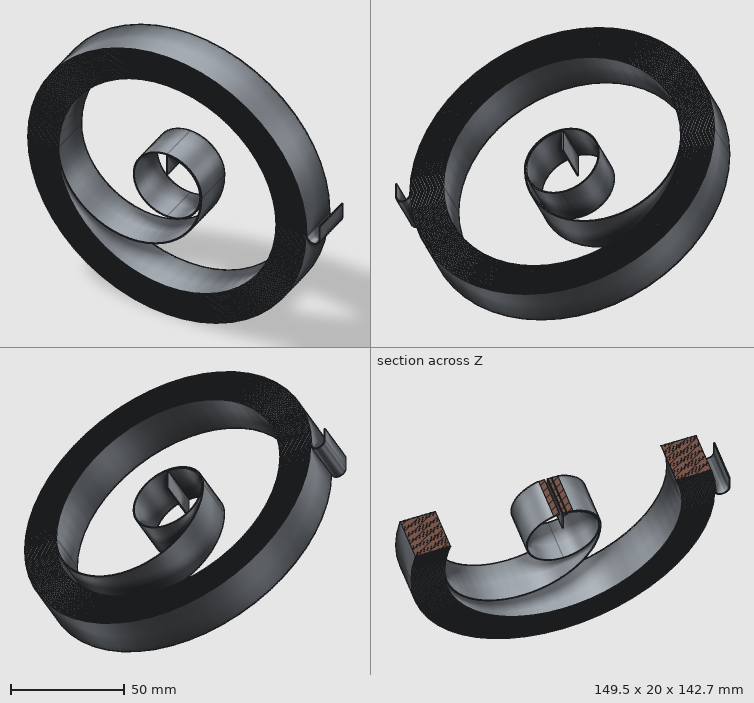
import cadquery as cq

OVERALL_LENGTH = 149.5
WIDTH = 20.0
THICKNESS = 0.54
HALF_THICKNESS = THICKNESS / 2

LAP_CLEARANCE = 0.012
LAP_PITCH = THICKNESS + LAP_CLEARANCE
HALF_PITCH = LAP_PITCH / 2

COIL_OUTER_RADIUS = 71.5
UPPER_HALF_TURNS = 29
HALF_TURNS = 2 * UPPER_HALF_TURNS - 1

HUB_INNER_RADIUS = 16.6
TAB_LENGTH = 11.0

HOOK_RADIUS = (OVERALL_LENGTH - 2 * COIL_OUTER_RADIUS) / 2
HOOK_LEG_LENGTH = 7.2

UP = (0, 1)
DOWN = (0, -1)
LEFT = (-1, 0)
RIGHT = (1, 0)
UP_RIGHT = (0.5 ** 0.5, 0.5 ** 0.5)


def point_on(bend, direction, offset=0):
    """Point of a bend in a direction from its center, offset outwards from the strip's centre line."""
    (center_x, center_z), radius = bend[:2]
    reach = radius + offset
    return (center_x + reach * direction[0], center_z + reach * direction[1])


def hub_bends():
    """A full turn from the top that climbs by one lap, then a quarter turn lying over its start."""
    radius = HUB_INNER_RADIUS + HALF_THICKNESS
    return [
        ((0, 0), radius, UP, RIGHT, DOWN),
        ((0, HALF_PITCH), radius + HALF_PITCH, DOWN, LEFT, UP),
        ((0, 0), radius + LAP_PITCH, UP, UP_RIGHT, RIGHT),
    ]


def coil_bends():
    """Half turns growing by half a pitch; the lower ones are centered half a pitch to the left."""
    radius = COIL_OUTER_RADIUS - HALF_THICKNESS - (HALF_TURNS - 1) * HALF_PITCH
    bends = []
    for index in range(HALF_TURNS):
        if index % 2 == 0:
            bends.append(((0, 0), radius, LEFT, UP, RIGHT))
        else:
            bends.append(((-HALF_PITCH, 0), radius, RIGHT, DOWN, LEFT))
        radius += HALF_PITCH
    return bends


def lead_out_bend(hub_end, coil_start):
    """Lower half turn from the right side of the hub to the left side of the coil."""
    center = ((hub_end[0] + coil_start[0]) / 2, 0)
    radius = (hub_end[0] - coil_start[0]) / 2
    return (center, radius, RIGHT, DOWN, LEFT)


def wound_bends():
    """The whole winding from the top of the hub to the right side of the coil."""
    hub = hub_bends()
    coil = coil_bends()
    lead_out = lead_out_bend(point_on(hub[-1], RIGHT), point_on(coil[0], LEFT))
    return hub + [lead_out] + coil


def spring_outline():
    """Closed outline of the strip: out along its outer face, back along its inner face."""
    bends = wound_bends()
    hub_top = point_on(bends[0], UP, HALF_THICKNESS)
    coil_end_x = point_on(bends[-1], RIGHT)[0]
    hook = ((coil_end_x + HOOK_RADIUS, 0), HOOK_RADIUS)

    outline = cq.Workplane("XZ", origin=(0, WIDTH / 2, 0)).moveTo(*hub_top)
    for bend in bends:
        middle, end = bend[3:]
        outline = outline.threePointArc(
            point_on(bend, middle, HALF_THICKNESS), point_on(bend, end, HALF_THICKNESS)
        )

    hook_inside = point_on(hook, RIGHT, -HALF_THICKNESS)
    hook_outside = point_on(hook, RIGHT, HALF_THICKNESS)
    outline = (
        outline.threePointArc(point_on(hook, DOWN, -HALF_THICKNESS), hook_inside)
        .lineTo(hook_inside[0], HOOK_LEG_LENGTH)
        .lineTo(hook_outside[0], HOOK_LEG_LENGTH)
        .lineTo(*hook_outside)
        .threePointArc(point_on(hook, DOWN, HALF_THICKNESS), point_on(hook, LEFT, HALF_THICKNESS))
    )

    for bend in reversed(bends):
        start, middle = bend[2:4]
        outline = outline.threePointArc(
            point_on(bend, middle, -HALF_THICKNESS), point_on(bend, start, -HALF_THICKNESS)
        )

    tab_end_z = hub_top[1] - TAB_LENGTH
    return (
        outline.lineTo(0, tab_end_z)
        .lineTo(-THICKNESS, tab_end_z)
        .lineTo(-THICKNESS, hub_top[1] - HALF_THICKNESS)
        .close()
    )


result = spring_outline().extrude(WIDTH)